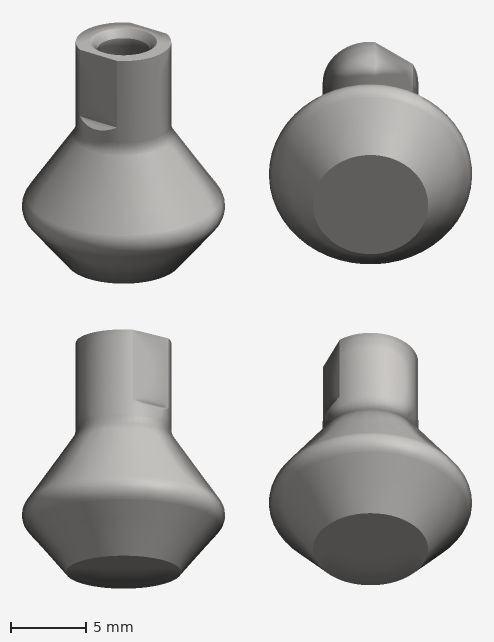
import cadquery as cq
import math

height = 15.88
base_radius = 3.83
belly_radius = 6.75
belly_height = 3.95
neck_radius = 3.18
neck_bottom = 9.9
blend_radius = 1.25
lower_cone_angle = math.radians(39.9)
upper_cone_angle = math.radians(34.7)

flat_spacing = 5.56
flat_bottom = 11.04

bore_radius = 1.72
countersink_radius = 2.22
cone_top_radius = 1.03
bore_depth = 7.94


def arc_point(centre, angle):
    """Point (radius, z) on a blend arc at an angle above the horizontal."""
    return (
        centre[0] + blend_radius * math.cos(angle),
        centre[1] + blend_radius * math.sin(angle),
    )


def turned_body():
    belly_centre = (belly_radius - blend_radius, belly_height)
    fillet_centre = (neck_radius + blend_radius, neck_bottom)
    neck_side = math.pi
    cone_side = math.pi + upper_cone_angle
    return (
        cq.Workplane("XZ")
        .lineTo(base_radius, 0)
        .lineTo(*arc_point(belly_centre, -lower_cone_angle))
        .threePointArc(
            arc_point(belly_centre, 0),
            arc_point(belly_centre, upper_cone_angle),
        )
        .lineTo(*arc_point(fillet_centre, cone_side))
        .threePointArc(
            arc_point(fillet_centre, (neck_side + cone_side) / 2),
            (neck_radius, neck_bottom),
        )
        .lineTo(neck_radius, height)
        .lineTo(0, height)
        .close()
        .revolve(360, (0, 0), (0, 1))
    )


def flat_cutter():
    """Material removed for the +Y flat, ending in a 45 degree run-out."""
    inner = flat_spacing / 2
    width = neck_radius - inner
    return (
        cq.Workplane("YZ")
        .polyline([
            (inner, height),
            (inner, flat_bottom),
            (neck_radius, flat_bottom - width),
            (neck_radius, height),
        ])
        .close()
        .extrude(neck_radius, both=True)
    )


def bore_cutter():
    """Countersunk bore around the rising cone; both tapers are at 45 degrees."""
    countersink_depth = countersink_radius - bore_radius
    cone_foot = height - bore_depth
    cone_top = cone_foot + (bore_radius - cone_top_radius)
    return (
        cq.Workplane("XZ")
        .polyline([
            (0, height),
            (countersink_radius, height),
            (bore_radius, height - countersink_depth),
            (bore_radius, cone_foot),
            (cone_top_radius, cone_top),
            (0, cone_top),
        ])
        .close()
        .revolve(360, (0, 0), (0, 1))
    )


flat = flat_cutter()
result = turned_body().cut(flat).cut(flat.mirror("XZ")).cut(bore_cutter())